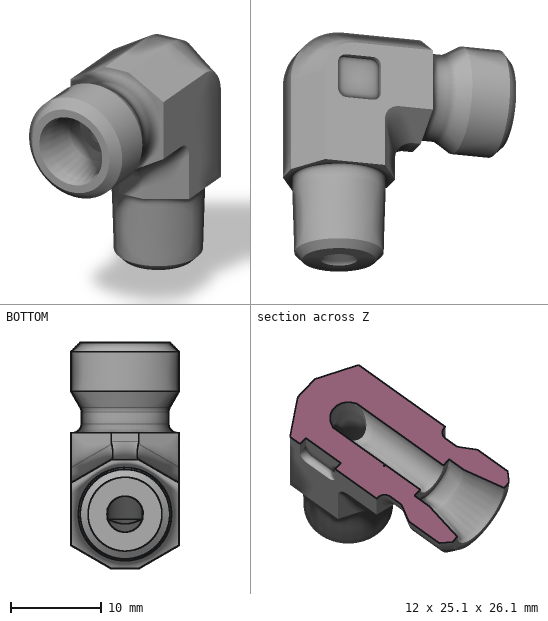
import cadquery as cq
import math


half_width = 6.0
half_depth = 6.05
slant_angle = math.radians(30)
corner_reach = half_width / math.cos(slant_angle)
side_reach = half_width * math.tan(slant_angle)
half_flat = (corner_reach - half_depth) / math.tan(slant_angle)
port_face = 9.02
stud_face = 10.5
crook_radius = 2.0

port_end = 19.02
nose_radius = 6.0
nose_chamfer = 1.05
nose_start = 13.6
neck_radius = 4.85
neck_cone_angle = math.radians(30)
neck_fillet = 1.0
cone_mouth_radius = 4.05
tube_radius = 3.0
tube_depth = 7.0
sealing_cone_angle = math.radians(12)

stud_end = 20.01
stud_radius = 10.35 / 2
stud_collar_end = 12.05
stud_tip_radius = 4.95
stud_chamfer = 0.85

bore_radius = 4.0 / 2
bore_corner = 0.55
drill_tip_angle = math.radians(30)
bore_tip = bore_corner + bore_radius * math.tan(drill_tip_angle)

badge_size = 5.0
badge_corner = 1.0
badge_depth = 1.0
badge_center = -0.52


def turned(points):
    """Revolve a (radius, z) outline about the Z axis."""
    return cq.Workplane("XZ").polyline(points).close().revolve(360, (0, 0), (0, 1))


def aim_at_port(body):
    """Swing a body from the stud direction (-Z) to the port direction (-Y)."""
    return body.rotate((0, 0, 0), (1, 0, 0), -90)


def outer_half_section():
    """Half of the bar section, on the outer side of the elbow, in the XY plane."""
    return (
        cq.Workplane("XY")
        .moveTo(-half_width, 0)
        .lineTo(-half_width, side_reach)
        .lineTo(-half_flat, half_depth)
        .lineTo(half_flat, half_depth)
        .lineTo(half_width, side_reach)
        .lineTo(half_width, 0)
        .close()
    )


def crook_void(slant, apex_reach):
    """Space left free between one pair of inner faces of the two legs.

    The pair meets in a ridge through (0, -apex_reach, -apex_reach); the ridge is
    rounded, which leaves a fillet on the block.
    """
    slope = math.tan(slant)
    half_opening = math.acos(-math.sin(slant) ** 2) / 2
    depth = 2 * stud_face
    half_span = depth * math.tan(half_opening)
    ridge = (0, -apex_reach, -apex_reach)
    across_ridge = cq.Plane(origin=ridge, xDir=(0, 1, -1), normal=(1, slope, slope))
    return (
        cq.Workplane(across_ridge)
        .polyline([(0, 0), (half_span, -depth), (-half_span, -depth)])
        .close()
        .extrude(depth, both=True)
        .edges(cq.NearestToPointSelector(ridge))
        .fillet(crook_radius)
    )


def block():
    stud_leg = outer_half_section().extrude(-stud_face)
    port_leg = aim_at_port(outer_half_section().extrude(-port_face).mirror("XZ"))
    bend = outer_half_section().revolve(360, (0, 0), (1, 0))
    inner_block = cq.Workplane("XY").box(2 * half_width, port_face, stud_face).translate(
        (0, -port_face / 2, -stud_face / 2)
    )
    body = inner_block.union(stud_leg).union(port_leg).union(bend)
    face_pairs = (
        (-slant_angle, corner_reach),
        (0, half_depth),
        (slant_angle, corner_reach),
    )
    for slant, apex_reach in face_pairs:
        body = body.cut(crook_void(slant, apex_reach))
    return body


def port():
    """Neck with a flared root, then a cone opening to the chamfered nose."""
    neck_corner = nose_start - (nose_radius - neck_radius) / math.tan(neck_cone_angle)
    bend_angle = neck_cone_angle / 2
    bend_start = neck_corner - neck_fillet * math.tan(bend_angle)

    def neck_bend(angle):
        """Point on the fillet between neck and cone, turned by angle from the neck."""
        return (
            neck_radius + neck_fillet * (1 - math.cos(angle)),
            -bend_start - neck_fillet * math.sin(angle),
        )

    flare_middle = neck_fillet * (1 - math.sqrt(0.5))
    outline = (
        cq.Workplane("XZ")
        .moveTo(0, -port_face)
        .lineTo(0, -port_end)
        .lineTo(nose_radius - nose_chamfer, -port_end)
        .lineTo(nose_radius, -port_end + nose_chamfer)
        .lineTo(nose_radius, -nose_start)
        .lineTo(*neck_bend(neck_cone_angle))
        .threePointArc(neck_bend(bend_angle), neck_bend(0))
        .lineTo(neck_radius, -port_face - neck_fillet)
        .threePointArc(
            (neck_radius + flare_middle, -port_face - flare_middle),
            (neck_radius + neck_fillet, -port_face),
        )
        .close()
    )
    return aim_at_port(outline.revolve(360, (0, 0), (0, 1)))


def stud():
    return turned([
        (0, 0),
        (stud_radius, 0),
        (stud_radius, -stud_collar_end),
        (stud_tip_radius, -stud_end + stud_chamfer),
        (stud_tip_radius - stud_chamfer, -stud_end),
        (0, -stud_end),
    ])


def bore(length):
    """Blind drilling along Z, open at -length, with a conical tip past the origin."""
    return turned([
        (0, -length),
        (bore_radius, -length),
        (bore_radius, bore_corner),
        (0, bore_tip),
    ])


def tube_socket():
    """Sealing cone at the mouth of the port, then the tube seat."""
    cone_length = (cone_mouth_radius - tube_radius) / math.tan(sealing_cone_angle)
    return aim_at_port(turned([
        (0, -port_end),
        (cone_mouth_radius, -port_end),
        (tube_radius, -port_end + cone_length),
        (tube_radius, -port_end + tube_depth),
        (0, -port_end + tube_depth),
    ]))


def badge_recess():
    return (
        cq.Workplane("YZ", origin=(-half_width, badge_center, badge_center))
        .rect(badge_size, badge_size)
        .extrude(badge_depth)
        .edges("|X")
        .fillet(badge_corner)
    )


result = (
    block()
    .union(stud())
    .union(port())
    .cut(bore(stud_end))
    .cut(aim_at_port(bore(port_end)))
    .cut(tube_socket())
    .cut(badge_recess())
)